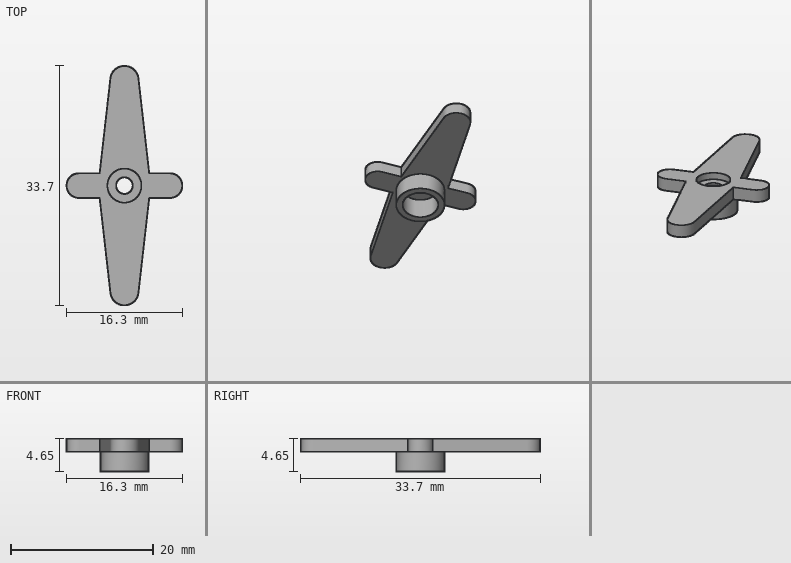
import cadquery as cq
import math

plate_thickness = 1.85
total_height = 4.65
hub_height = total_height - plate_thickness

long_span = 33.69
long_tip_radius = 2.0
root_width = 7.0

short_span = 16.3
short_width = 3.5

hub_diameter = 6.8
screw_hole_diameter = 2.3
head_recess_diameter = 4.8
head_recess_depth = 1.0
socket_diameter = 5.0
floor_thickness = 0.35
socket_depth = total_height - head_recess_depth - floor_thickness


def long_arms():
    """Two opposite arms whose straight sides run tangent into round tips."""
    tip_y = long_span / 2
    tip_center_y = tip_y - long_tip_radius
    root_x = root_width / 2
    root_y = short_width / 2

    center_dx = root_x
    center_dy = tip_center_y - root_y
    center_distance = math.hypot(center_dx, center_dy)
    taper = math.asin(center_dx / center_distance) - math.asin(long_tip_radius / center_distance)
    tangent_x = long_tip_radius * math.cos(taper)
    tangent_y = tip_center_y + long_tip_radius * math.sin(taper)

    return (
        cq.Workplane("XY")
        .moveTo(root_x, -root_y)
        .lineTo(root_x, root_y)
        .lineTo(tangent_x, tangent_y)
        .threePointArc((0, tip_y), (-tangent_x, tangent_y))
        .lineTo(-root_x, root_y)
        .lineTo(-root_x, -root_y)
        .lineTo(-tangent_x, -tangent_y)
        .threePointArc((0, -tip_y), (tangent_x, -tangent_y))
        .close()
        .extrude(plate_thickness)
    )


def short_arms():
    """Straight cross arm with fully rounded ends."""
    return cq.Workplane("XY").slot2D(short_span, short_width).extrude(plate_thickness)


def hub():
    """Round boss below the plate."""
    return cq.Workplane("XY").circle(hub_diameter / 2).extrude(-hub_height)


def bore():
    """Screw hole through a thin floor, between the top head recess and the bottom shaft socket."""
    hole = (
        cq.Workplane("XY", origin=(0, 0, -hub_height))
        .circle(screw_hole_diameter / 2)
        .extrude(total_height)
    )
    recess = (
        cq.Workplane("XY", origin=(0, 0, plate_thickness))
        .circle(head_recess_diameter / 2)
        .extrude(-head_recess_depth)
    )
    socket = (
        cq.Workplane("XY", origin=(0, 0, -hub_height))
        .circle(socket_diameter / 2)
        .extrude(socket_depth)
    )
    return hole.union(recess).union(socket)


result = long_arms().union(short_arms()).union(hub()).cut(bore())